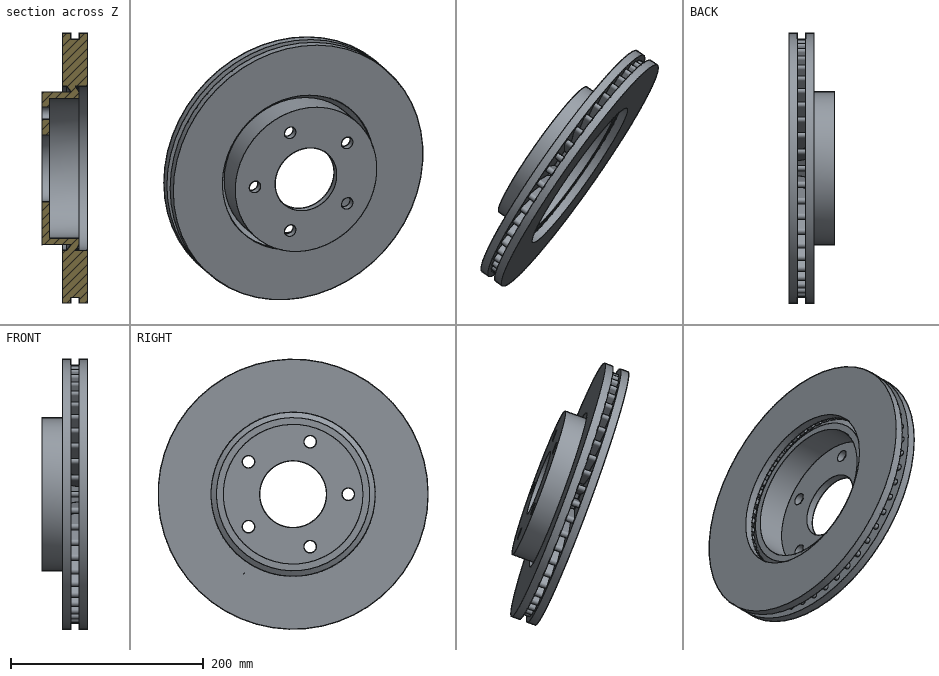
import cadquery as cq


disc_radius = 280.0 / 2
total_width = 47.3
rotor_width = 26.0
hat_height = total_width - rotor_width

plate_thickness = rotor_width / 3
gap_start = hat_height + plate_thickness
gap_end = total_width - plate_thickness
gap_width = gap_end - gap_start
plate_inner_radius = 170.0 / 2

hat_radius = 158.7 / 2
hat_inner_radius = 144.7 / 2
hat_floor_thickness = 8.0

groove_wall_depth = plate_thickness / 2
groove_cone_depth = plate_thickness / 2
web_outer_radius = 93.0

bore_radius = 69.0 / 2
bolt_count = 5
bolt_hole_diameter = 12.6
bolt_circle_radius = 114.3 / 2

vane_count = 48
vane_thickness = 6.0
vane_tip_radius = 133.9
vane_overlap = 0.5


def revolve_about_x(points):
    """Revolve a closed (x, radius) outline about the X axis."""
    return cq.Workplane("XY").polyline(points).close().revolve(360, (0, 0, 0), (1, 0, 0))


def make_hat_and_outboard_plate():
    groove_cone_start = hat_height + groove_wall_depth
    groove_floor = groove_cone_start + groove_cone_depth
    return revolve_about_x([
        (0, bore_radius),
        (0, hat_radius),
        (groove_floor, hat_radius),
        (groove_cone_start, plate_inner_radius),
        (hat_height, plate_inner_radius),
        (hat_height, disc_radius),
        (gap_start, disc_radius),
        (gap_start, web_outer_radius),
        (gap_end, hat_radius),
        (gap_end, hat_inner_radius),
        (hat_floor_thickness, hat_inner_radius),
        (hat_floor_thickness, bore_radius),
    ])


def make_inboard_plate():
    return revolve_about_x([
        (gap_end, plate_inner_radius),
        (gap_end, disc_radius),
        (total_width, disc_radius),
        (total_width, plate_inner_radius),
    ])


def make_vanes():
    """Radial vanes with a full-round outer end, bridging the air gap."""
    tip_centre = vane_tip_radius - vane_thickness / 2
    half = vane_thickness / 2
    vane = (
        cq.Workplane("YZ", origin=(gap_start - vane_overlap, 0, 0))
        .moveTo(plate_inner_radius, -half)
        .lineTo(tip_centre, -half)
        .threePointArc((vane_tip_radius, 0), (tip_centre, half))
        .lineTo(plate_inner_radius, half)
        .close()
        .extrude(gap_width + 2 * vane_overlap)
    )
    step = 360.0 / vane_count
    return [vane.rotate((0, 0, 0), (1, 0, 0), i * step).val() for i in range(vane_count)]


def make_bolt_holes():
    return (
        cq.Workplane("YZ")
        .polarArray(bolt_circle_radius, 0, 360, bolt_count)
        .circle(bolt_hole_diameter / 2)
        .extrude(hat_floor_thickness)
    )


body = make_hat_and_outboard_plate().val().fuse(make_inboard_plate().val(), *make_vanes())
result = cq.Workplane("XY").newObject([body]).cut(make_bolt_holes())